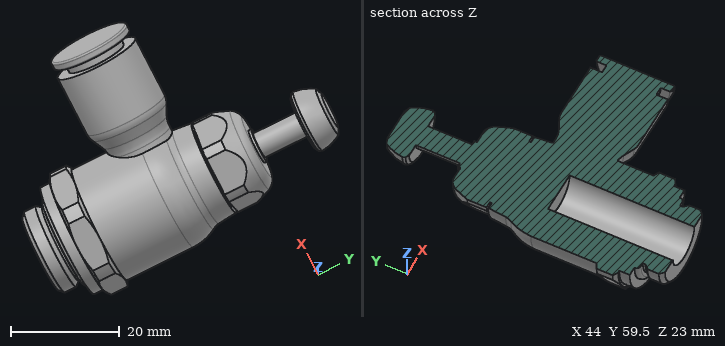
import cadquery as cq
import math

THREAD_CHAMFER_END = 0.85
THREAD_END = 3.15
RELIEF_START = 4.05
SEAL_START = 4.6
COLLAR_START = 5.5
BODY_HEX_START = 7.6
BODY_HEX_END = 12.15
BRANCH_AXIS = 25.8
SHOULDER_END = 30.6
TAPER_START = 31.9
BODY_END = 35.65
NUT_START = 35.95
NUT_CONE_START = 39.95
NUT_CROWN_START = 43.05
NUT_END = 44.5
STEM_COLLAR_END = 45.0
KNOB_START = 54.05
KNOB_EDGE = 54.5
KNOB_RIM = 55.0
KNOB_DOME_END = 59.0
OVERALL_LENGTH = 59.55

THREAD_RADIUS = 8.35
RELIEF_RADIUS = 7.5
SEAL_RADIUS = 9.1
SEAL_FILLET = 0.85
COLLAR_RADIUS = 11.0
BODY_RADIUS = 22.8 / 2
SHOULDER_RADIUS = 10.05
TAPER_START_RADIUS = 9.6
BODY_END_RADIUS = 9.2
GROOVE_RADIUS = 7.9
BORE_RADIUS = 4.3

BODY_HEX_FLATS = 23.0
BODY_HEX_CORNER_RADIUS = 12.5
BODY_HEX_CHAMFER = 0.6
NUT_FLATS = 17.0
NUT_CORNER_RADIUS = 9.3
NUT_CROWN_RADIUS = 8.1
NUT_TOP_RADIUS = 6.25
NUT_CROWN_BULGE = 0.25

STEM_COLLAR_RADIUS = 3.35
STEM_RADIUS = 5.0 / 2
KNOB_BASE_RADIUS = 5.2
KNOB_EDGE_RADIUS = 5.85
KNOB_RIM_RADIUS = 6.1
KNOB_DOME_RADIUS = 4.7
KNOB_TOP_RADIUS = 3.45
KNOB_DOME_BULGE = 0.3

BRANCH_NECK_RADIUS = 6.2
BRANCH_NECK_END = 10.65
BRANCH_CONE_START = 12.8
BRANCH_CONE_END = 15.0
BRANCH_SLEEVE_START = 16.45
BRANCH_SLEEVE_RADIUS = 8.05
BRANCH_SLEEVE_END = 28.15
BRANCH_STEP_RADIUS = 5.65
RELEASE_RING_START = 29.8
RELEASE_RING_END = 31.5
RELEASE_RING_RADIUS = 7.8
RELEASE_RING_FILLET = 0.35


def bulged_midpoint(start, end, bulge):
    """Point midway between two profile points, pushed outward by the bulge (start below end in Y)."""
    run, rise = end[0] - start[0], end[1] - start[1]
    length = math.hypot(run, rise)
    middle_x = (start[0] + end[0]) / 2 + bulge * rise / length
    middle_y = (start[1] + end[1]) / 2 - bulge * run / length
    return middle_x, middle_y


def revolve_about_y(profile):
    """Close an XY profile that meets the Y axis at both ends and revolve it about that axis."""
    return profile.close().revolve(360, (0, 0, 0), (0, 1, 0))


def y_cylinder(radius, start, end):
    return cq.Workplane("XZ", origin=(0, start, 0)).circle(radius).extrude(start - end)


def y_hexagon(across_flats, start, end):
    """Hexagonal prism along Y with corners on the X axis."""
    corner_diameter = across_flats / math.cos(math.pi / 6)
    return cq.Workplane("XZ", origin=(0, start, 0)).polygon(6, corner_diameter).extrude(start - end)


def threaded_end():
    """Chamfered thread blank, thread relief, rounded seal ring and collar."""
    profile = (
        cq.Workplane("XY")
        .lineTo(RELIEF_RADIUS, 0)
        .lineTo(THREAD_RADIUS, THREAD_CHAMFER_END)
        .lineTo(THREAD_RADIUS, THREAD_END)
        .lineTo(RELIEF_RADIUS, RELIEF_START)
        .lineTo(RELIEF_RADIUS, SEAL_START)
        .lineTo(0, SEAL_START)
    )
    seal = y_cylinder(SEAL_RADIUS, SEAL_START, COLLAR_START).faces("<Y").edges().fillet(SEAL_FILLET)
    collar = y_cylinder(COLLAR_RADIUS, COLLAR_START, BODY_HEX_START)
    return revolve_about_y(profile).union(seal).union(collar)


def body_hexagon():
    """Hexagon with turned-off corners, chamfered down to the flats at both ends."""
    flat_radius = BODY_HEX_FLATS / 2
    envelope = (
        cq.Workplane("XY")
        .moveTo(0, BODY_HEX_START)
        .lineTo(flat_radius, BODY_HEX_START)
        .lineTo(BODY_HEX_CORNER_RADIUS, BODY_HEX_START + BODY_HEX_CHAMFER)
        .lineTo(BODY_HEX_CORNER_RADIUS, BODY_HEX_END - BODY_HEX_CHAMFER)
        .lineTo(flat_radius, BODY_HEX_END)
        .lineTo(0, BODY_HEX_END)
    )
    return y_hexagon(BODY_HEX_FLATS, BODY_HEX_START, BODY_HEX_END).intersect(revolve_about_y(envelope))


def body():
    """Cylinder that rounds over into a slightly tapered upper end."""
    profile = (
        cq.Workplane("XY")
        .moveTo(0, BODY_HEX_END)
        .lineTo(BODY_RADIUS, BODY_HEX_END)
        .lineTo(BODY_RADIUS, BRANCH_AXIS)
        .tangentArcPoint((SHOULDER_RADIUS, SHOULDER_END), relative=False)
        .tangentArcPoint((TAPER_START_RADIUS, TAPER_START), relative=False)
        .lineTo(BODY_END_RADIUS, BODY_END)
        .lineTo(0, BODY_END)
    )
    return revolve_about_y(profile)


def nut():
    """Hexagon nut with a conical top and a rounded crown, above a narrow groove."""
    crown_start = (NUT_CROWN_RADIUS, NUT_CROWN_START)
    crown_end = (NUT_TOP_RADIUS, NUT_END)
    envelope = (
        cq.Workplane("XY")
        .moveTo(0, NUT_START)
        .lineTo(NUT_CORNER_RADIUS, NUT_START)
        .lineTo(NUT_CORNER_RADIUS, NUT_CONE_START)
        .lineTo(*crown_start)
        .threePointArc(bulged_midpoint(crown_start, crown_end, NUT_CROWN_BULGE), crown_end)
        .lineTo(0, NUT_END)
    )
    hexagon = y_hexagon(NUT_FLATS, NUT_START, NUT_END).intersect(revolve_about_y(envelope))
    return hexagon.union(y_cylinder(GROOVE_RADIUS, BODY_END, NUT_START))


def stem_and_knob():
    dome_start = (KNOB_RIM_RADIUS, KNOB_RIM)
    dome_end = (KNOB_DOME_RADIUS, KNOB_DOME_END)
    profile = (
        cq.Workplane("XY")
        .moveTo(0, NUT_END)
        .lineTo(STEM_COLLAR_RADIUS, NUT_END)
        .lineTo(STEM_COLLAR_RADIUS, STEM_COLLAR_END)
        .lineTo(STEM_RADIUS, STEM_COLLAR_END)
        .lineTo(STEM_RADIUS, KNOB_START)
        .lineTo(KNOB_BASE_RADIUS, KNOB_START)
        .lineTo(KNOB_EDGE_RADIUS, KNOB_EDGE)
        .lineTo(*dome_start)
        .threePointArc(bulged_midpoint(dome_start, dome_end, KNOB_DOME_BULGE), dome_end)
        .lineTo(KNOB_TOP_RADIUS, OVERALL_LENGTH)
        .lineTo(0, OVERALL_LENGTH)
    )
    return revolve_about_y(profile)


def branch():
    """Side branch along +X: neck flaring smoothly to a sleeve, then the release ring."""
    flare_angle = math.atan2(
        BRANCH_SLEEVE_RADIUS - BRANCH_NECK_RADIUS,
        (BRANCH_CONE_START - BRANCH_NECK_END) / 2
        + BRANCH_CONE_END - BRANCH_CONE_START
        + (BRANCH_SLEEVE_START - BRANCH_CONE_END) / 2,
    )
    half_slope = math.tan(flare_angle / 2)
    cone_start_radius = BRANCH_NECK_RADIUS + (BRANCH_CONE_START - BRANCH_NECK_END) * half_slope
    cone_end_radius = BRANCH_SLEEVE_RADIUS - (BRANCH_SLEEVE_START - BRANCH_CONE_END) * half_slope
    flare = (
        cq.Workplane("XY", origin=(0, BRANCH_AXIS, 0))
        .lineTo(0, BRANCH_NECK_RADIUS)
        .lineTo(BRANCH_NECK_END, BRANCH_NECK_RADIUS)
        .tangentArcPoint((BRANCH_CONE_START, cone_start_radius), relative=False)
        .lineTo(BRANCH_CONE_END, cone_end_radius)
        .tangentArcPoint((BRANCH_SLEEVE_START, BRANCH_SLEEVE_RADIUS), relative=False)
        .lineTo(BRANCH_SLEEVE_END, BRANCH_SLEEVE_RADIUS)
        .lineTo(BRANCH_SLEEVE_END, BRANCH_STEP_RADIUS)
        .lineTo(RELEASE_RING_START, BRANCH_STEP_RADIUS)
        .lineTo(RELEASE_RING_START, 0)
        .close()
        .revolve(360, (0, 0, 0), (1, 0, 0))
    )
    ring = (
        cq.Workplane("YZ", origin=(RELEASE_RING_START, BRANCH_AXIS, 0))
        .circle(RELEASE_RING_RADIUS)
        .extrude(RELEASE_RING_END - RELEASE_RING_START)
        .edges()
        .fillet(RELEASE_RING_FILLET)
    )
    return flare.union(ring)


bore = y_cylinder(BORE_RADIUS, 0, BRANCH_AXIS)

result = (
    threaded_end()
    .union(body_hexagon())
    .union(body())
    .union(nut())
    .union(stem_and_knob())
    .union(branch())
    .cut(bore)
)